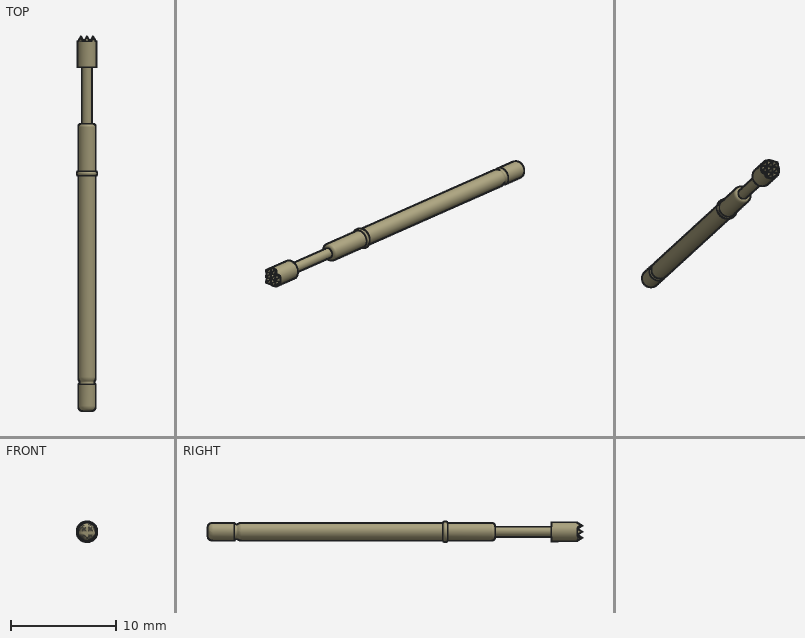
import cadquery as cq
import math

total_length = 35.7
head_tip_y = total_length / 2
tail_y = -total_length / 2

head_radius = 0.93
head_length = 2.95
spike_pitch = 0.57
spike_depth = 0.5

stem_radius = 0.5
stem_exposed_length = 5.35

sleeve_radius = 0.85
sleeve_mouth_fillet = 0.32
tail_fillet = 0.45
bead_radius = 1.0
bead_distance_from_tip = 13.05
bead_tube_radius = 0.25

groove_edge_radius = 0.75
groove_roll_radius = 0.2
groove_start_from_tail = 2.57
groove_edge_from_tail = 2.9
groove_end_from_tail = 3.2

sleeve_mouth_y = head_tip_y - head_length - stem_exposed_length


def tangent_arc_radius(radial_drop, axial_run):
    """Radius of an arc that starts parallel to the axis and drifts by radial_drop over axial_run."""
    return (radial_drop ** 2 + axial_run ** 2) / (2 * radial_drop)


def make_sleeve():
    """Revolved sleeve: rounded tail, rolled groove, round ring bead and rounded mouth."""
    groove_start = tail_y + groove_start_from_tail
    groove_edge = tail_y + groove_edge_from_tail
    groove_end = tail_y + groove_end_from_tail
    shoulder_radius = tangent_arc_radius(sleeve_radius - groove_edge_radius, groove_end - groove_edge)

    bead_y = head_tip_y - bead_distance_from_tip
    bead_inset = sleeve_radius - (bead_radius - bead_tube_radius)
    bead_half_width = math.sqrt(bead_tube_radius ** 2 - bead_inset ** 2)

    profile = (
        cq.Workplane("XY")
        .moveTo(0, tail_y)
        .lineTo(sleeve_radius - tail_fillet, tail_y)
        .radiusArc((sleeve_radius, tail_y + tail_fillet), -tail_fillet)
        .lineTo(sleeve_radius, groove_start)
        .radiusArc((groove_edge_radius, groove_edge), groove_roll_radius)
        .radiusArc((sleeve_radius, groove_end), -shoulder_radius)
        .lineTo(sleeve_radius, bead_y - bead_half_width)
        .threePointArc((bead_radius, bead_y), (sleeve_radius, bead_y + bead_half_width))
        .lineTo(sleeve_radius, sleeve_mouth_y - sleeve_mouth_fillet)
        .radiusArc((sleeve_radius - sleeve_mouth_fillet, sleeve_mouth_y), -sleeve_mouth_fillet)
        .lineTo(0, sleeve_mouth_y)
        .close()
    )
    return profile.revolve(360, (0, 0, 0), (0, 1, 0))


def make_rod(radius, start_y, end_y):
    """Solid cylinder along Y between two positions."""
    return cq.Workplane("XZ", origin=(0, start_y, 0)).circle(radius).extrude(start_y - end_y)


def make_ridge_cutter():
    """Material to remove, along Z, to leave three parallel ridges with open outer flanks."""
    floor_y = head_tip_y - spike_depth
    half_pitch = spike_pitch / 2
    outside = 2 * head_radius
    cutter = cq.Workplane("XY")
    for side in (-1, 1):
        valley = (
            cq.Workplane("XY")
            .moveTo(0, head_tip_y)
            .lineTo(side * half_pitch, floor_y)
            .lineTo(side * spike_pitch, head_tip_y)
            .close()
            .extrude(outside, both=True)
        )
        outer_flank = (
            cq.Workplane("XY")
            .moveTo(side * spike_pitch, head_tip_y)
            .lineTo(side * (spike_pitch + half_pitch), floor_y)
            .lineTo(side * outside, floor_y)
            .lineTo(side * outside, head_tip_y)
            .close()
            .extrude(outside, both=True)
        )
        cutter = cutter.add(valley).add(outer_flank)
    return cutter.combine()


def make_head():
    """Cylindrical head whose end is cut into a square grid of pyramid spikes."""
    head = make_rod(head_radius, head_tip_y - head_length, head_tip_y)
    cutter = make_ridge_cutter()
    crossing_cutter = cutter.rotate((0, 0, 0), (0, 1, 0), 90)
    return head.cut(cutter).cut(crossing_cutter)


stem = make_rod(stem_radius, sleeve_mouth_y, head_tip_y - head_length)
result = make_sleeve().union(stem).union(make_head())